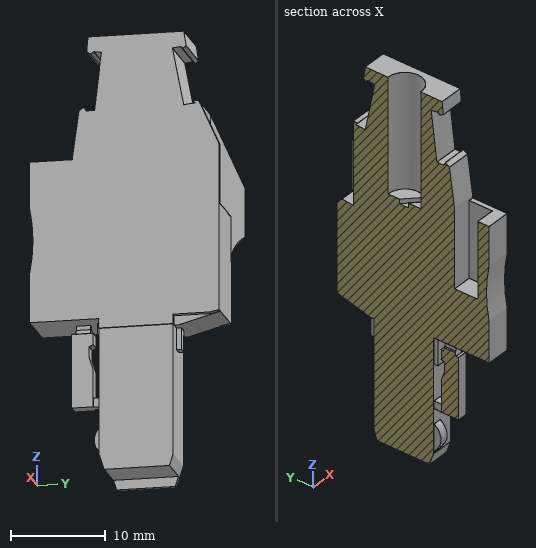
import cadquery as cq
import math


width = 6.15
depth = 22.0
height = 48.48
wall = 0.48
underside_z = 17.56
back_y = 20.46
shelf_y = 4.62
shelf_z = 35.15
shoulder_z = 40.4
shoulder_lip_z = 40.82
head_z = 46.68
head_lip_z = 46.55
head_edge_z = 46.85
grip_top_z = 29.98
grip_bottom_z = 23.0
grip_sag = 0.35
scoop_top_z = 27.15
scoop_bottom_z = 24.6
back_corner_z = 17.76
slope_bottom_z = 32.5
slope_top_y = 18.25
underside_back_y = 19.5

shelf_riser_z = 35.43
front_shoulder_edge = (5.32, 40.48)
front_lip_y = 5.88
front_groove_y = 6.12
back_groove = (17.85, 40.55)
back_lip_y = 17.6
neck_base_front_y = 7.0
neck_base_back_y = 16.65
neck_top_front_y = 7.75
neck_top_back_y = 15.42
head_groove_z = 46.8
head_front_groove_y = 6.95
head_front_lip_y = 6.6
head_front_y = 6.15
head_top_front_y = 6.29
head_top_back_y = 16.65
head_back_y = 16.9
head_back_lip_y = 16.5
head_back_groove_y = 16.35

entry_wall = 0.63
entry_front_y = 1.52
entry_depth = 10.0

screw_x = 3.15
screw_y = 11.37
screw_diameter = 4.35
shaft_depth = 15.0
slot_width = 0.78
slot_depth = 0.6
slot_angle = -45.0

recess_floor_z = 30.0
recess_ridge_y = 19.73
recess_ridge_rise = 0.15
recess_back_drop = 0.5

leg_start_x = 0.98
leg_end_x = 6.0
leg_front_y = 7.46
leg_back_y = 15.48
leg_top_z = 16.53
leg_body_z = 1.07
leg_plate = 0.63
leg_tip_front_y = 8.36
leg_tip_back_y = 14.73
leg_front_taper_z = 2.7
leg_back_taper_z = 2.34

wedge_start_x = 0.63
collar = 0.5
collar_z = 14.17
collar_start_x = 3.15
collar_end_x = 4.36

pin_start_x = 2.74
pin_end_x = 4.36
pin_front_y = 4.12
pin_back_y = 6.47
pin_bottom_z = 8.46
pin_notch = 0.43
notch_top_z = 15.25
notch_upper_z = 15.05
notch_lower_z = 13.9
notch_bottom_z = 12.55
pin_neck_start_x = 3.15
pin_neck_end_x = 3.76
pin_neck_front_y = 4.55
pin_neck_back_y = 6.03
pin_neck_flare_z = 17.1
pin_neck_flare_x = 0.37
pin_neck_flare_y = 0.1
foot_start_x = 3.15
foot_end_x = 4.2
foot_height = 1.0

bump_start_x = 3.15
bump_end_x = 4.2
bump_top_z = 6.5
bump_bottom_z = 2.85
bump_crest = (6.54, 4.8)
bump_arc_end = (6.78, 3.9)


def block(x0, x1, y0, y1, z0, z1):
    return cq.Workplane("XY").box(x1 - x0, y1 - y0, z1 - z0, centered=False).translate((x0, y0, z0))


def slab(points, x0, x1):
    """Extrude a closed (Y, Z) polygon from x0 to x1."""
    return cq.Workplane("YZ", origin=(x0, 0, 0)).polyline(points).close().extrude(x1 - x0)


def housing():
    scoop_rise = scoop_top_z - scoop_bottom_z
    scoop_run = depth - back_y
    scoop_radius = (scoop_rise ** 2 + scoop_run ** 2) / (2 * scoop_run)
    half_angle = math.asin(scoop_rise / scoop_radius) / 2
    scoop_mid = (
        back_y + scoop_radius * (1 - math.cos(half_angle)),
        scoop_bottom_z + scoop_radius * math.sin(half_angle),
    )
    grip_mid = (grip_sag, (grip_top_z + grip_bottom_z) / 2)
    return (
        cq.Workplane("YZ")
        .moveTo(0, underside_z)
        .lineTo(0, grip_bottom_z)
        .threePointArc(grip_mid, (0, grip_top_z))
        .lineTo(0, shelf_z)
        .lineTo(shelf_y, shelf_z)
        .lineTo(shelf_y, shelf_riser_z)
        .lineTo(*front_shoulder_edge)
        .lineTo(front_lip_y, shoulder_lip_z)
        .lineTo(front_groove_y, shoulder_z)
        .lineTo(neck_base_front_y, shoulder_z)
        .lineTo(neck_top_front_y, head_z)
        .lineTo(head_front_groove_y, head_groove_z)
        .lineTo(head_front_lip_y, head_lip_z)
        .lineTo(head_front_y, head_edge_z)
        .lineTo(head_top_front_y, height)
        .lineTo(head_top_back_y, height)
        .lineTo(head_back_y, head_edge_z)
        .lineTo(head_back_lip_y, head_lip_z)
        .lineTo(head_back_groove_y, head_groove_z)
        .lineTo(neck_top_back_y, head_z)
        .lineTo(neck_base_back_y, shoulder_z)
        .lineTo(*back_groove)
        .lineTo(back_lip_y, shoulder_lip_z)
        .lineTo(slope_top_y, shoulder_lip_z)
        .lineTo(depth, slope_bottom_z)
        .lineTo(depth, scoop_top_z)
        .threePointArc(scoop_mid, (back_y, scoop_bottom_z))
        .lineTo(back_y, back_corner_z)
        .lineTo(underside_back_y, underside_z)
        .close()
        .extrude(width)
        .cut(block(wall, width, back_y, depth, underside_z, height))
    )


def entry_pocket():
    return block(entry_wall, width - entry_wall, entry_front_y, shelf_y, shelf_z - entry_depth, shelf_z)


def screw_shaft():
    centre = (screw_x, screw_y)
    floor_z = height - shaft_depth
    shaft = cq.Workplane("XY", origin=(*centre, floor_z)).circle(screw_diameter / 2).extrude(shaft_depth)
    slot = (
        cq.Workplane("XY", origin=(*centre, floor_z - slot_depth))
        .transformed(rotate=(0, 0, slot_angle))
        .rect(screw_diameter, slot_width)
        .extrude(slot_depth)
        .intersect(shaft.translate((0, 0, -slot_depth)))
    )
    return shaft.union(slot)


def back_recess():
    points = [
        (slope_top_y, height),
        (slope_top_y, recess_floor_z),
        (recess_ridge_y, recess_floor_z + recess_ridge_rise),
        (back_y, recess_floor_z - recess_back_drop),
        (back_y, height),
    ]
    return slab(points, wall, width - wall)


def leg_root():
    """Full-width step between the housing and the leg."""
    return block(0, width, leg_front_y, leg_back_y, leg_top_z, underside_z)


def leg():
    outline = [
        (leg_front_y, underside_z),
        (leg_front_y, leg_front_taper_z),
        (leg_tip_front_y, 0),
        (leg_tip_back_y, 0),
        (leg_back_y, leg_back_taper_z),
        (leg_back_y, underside_z),
    ]
    plate_end_x = leg_start_x + leg_plate
    tip = block(plate_end_x, leg_end_x, leg_front_y, leg_back_y, 0, leg_body_z)
    return slab(outline, leg_start_x, leg_end_x).cut(tip)


def back_wedge():
    """Sloped underside between the back of the housing and the leg."""
    points = [
        (leg_back_y, back_corner_z),
        (leg_back_y, leg_top_z),
        (leg_back_y + collar, leg_top_z),
        (back_y, back_corner_z),
    ]
    return slab(points, wedge_start_x, width - wedge_start_x)


def collars():
    """Lips on the front and back of the leg, just under the housing."""
    y0 = leg_front_y - collar
    y1 = leg_back_y + collar
    return block(collar_start_x, collar_end_x, y0, y1, collar_z, underside_z)


def pin():
    notch_y = pin_back_y - pin_notch
    outline = [
        (pin_front_y, pin_bottom_z),
        (pin_front_y, leg_top_z),
        (pin_back_y, leg_top_z),
        (pin_back_y, notch_top_z),
        (notch_y, notch_upper_z),
        (notch_y, notch_lower_z),
        (pin_back_y, notch_bottom_z),
        (pin_back_y, pin_bottom_z),
    ]
    body = slab(outline, pin_start_x, pin_end_x)
    neck = block(
        pin_neck_start_x, pin_neck_end_x, pin_neck_front_y, pin_neck_back_y, pin_neck_flare_z, underside_z
    )
    pin_neck_size_x = pin_neck_end_x - pin_neck_start_x
    pin_neck_size_y = pin_neck_back_y - pin_neck_front_y
    pin_neck_centre = ((pin_neck_start_x + pin_neck_end_x) / 2, (pin_neck_front_y + pin_neck_back_y) / 2)
    flare = (
        cq.Workplane("XY", origin=(*pin_neck_centre, leg_top_z))
        .rect(pin_neck_size_x + 2 * pin_neck_flare_x, pin_neck_size_y + 2 * pin_neck_flare_y)
        .workplane(offset=pin_neck_flare_z - leg_top_z)
        .rect(pin_neck_size_x, pin_neck_size_y)
        .loft()
    )
    foot = block(
        foot_start_x, foot_end_x, pin_back_y, leg_front_y, pin_bottom_z, pin_bottom_z + foot_height
    )
    return body.union(flare).union(neck).union(foot)


def latch_bump():
    return (
        cq.Workplane("YZ", origin=(bump_start_x, 0, 0))
        .moveTo(leg_front_y, bump_top_z)
        .threePointArc(bump_crest, bump_arc_end)
        .lineTo(leg_front_y, bump_bottom_z)
        .close()
        .extrude(bump_end_x - bump_start_x)
    )


result = housing().cut(entry_pocket()).cut(screw_shaft()).cut(back_recess())
for piece in (leg_root(), leg(), back_wedge(), collars(), pin(), latch_bump()):
    result = result.union(piece)